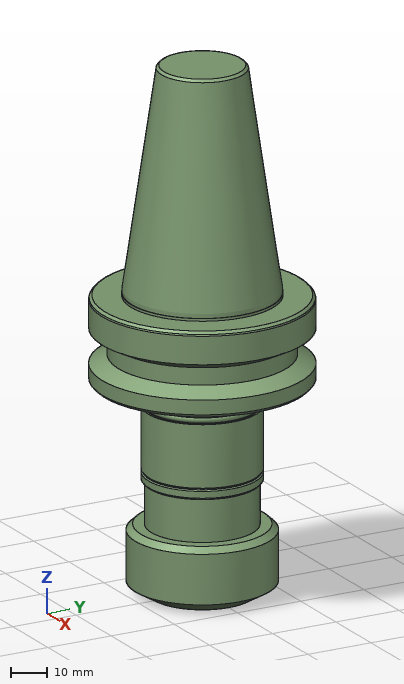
import cadquery as cq

total_height = 154.4

nut_radius = 21.2
nut_nose_radius = 15.1
nut_nose_height = 3.5
nut_top = 20.0
nut_shoulder_width = 1.9
nut_shoulder_height = 1.7

neck_radius = 16.0
collar_radius = 17.0
collar_bottom = 32.7
collar_chamfer = 0.6
collar_fillet = 1.5

narrow_groove = (35.8, 1.0, 0.3, 0.5)
wide_groove = (55.9, 2.0, 2.0, 0.6)

seal_height = 1.5
seal_bulge = 0.3

flange_radius = 31.5
flange_bottom = 61.9
flange_top = 87.1
flange_chamfer = 1.0
rim_break_width = 0.2
rim_break_height = 0.5
grip_bottom = 67.2
grip_top = 77.5
grip_root_radius = 26.4
grip_side_height = 2.6

seat_radius = 22.4
seat_height = 0.8
taper_bottom = 89.1
taper_radius = 22.2
taper_slope = 7 / 48
taper_top_chamfer = 0.8


def revolve_profile(points):
    """Solid of revolution about Z from (radius, height) points."""
    return cq.Workplane("XZ").polyline(points).close().revolve(360, (0, 0, 0), (0, 1, 0))


def ring_cutter(radius, middle, mouth_width, floor_width, depth):
    """Ring with a trapezoid section that cuts a groove into a cylinder."""
    return revolve_profile([
        (radius, middle - mouth_width / 2),
        (radius - depth, middle - floor_width / 2),
        (radius - depth, middle + floor_width / 2),
        (radius, middle + mouth_width / 2),
    ])


def make_nut():
    return revolve_profile([
        (0, 0),
        (nut_nose_radius, 0),
        (nut_radius, nut_nose_height),
        (nut_radius, nut_top - nut_shoulder_height),
        (nut_radius - nut_shoulder_width, nut_top),
        (0, nut_top),
    ])


def make_neck():
    height = collar_bottom - nut_top
    return cq.Workplane("XY").workplane(offset=nut_top).circle(neck_radius).extrude(height)


def make_collar():
    profile = (
        cq.Workplane("XZ")
        .moveTo(0, collar_bottom)
        .lineTo(collar_radius - collar_chamfer, collar_bottom)
        .lineTo(collar_radius, collar_bottom + collar_chamfer)
        .lineTo(collar_radius, flange_bottom - collar_fillet)
        .radiusArc((collar_radius + collar_fillet, flange_bottom), collar_fillet)
        .lineTo(0, flange_bottom)
        .close()
    )
    collar = profile.revolve(360, (0, 0, 0), (0, 1, 0))
    for groove in (narrow_groove, wide_groove):
        collar = collar.cut(ring_cutter(collar_radius, *groove))
    return collar


def make_seal():
    middle, _, _, depth = wide_groove
    floor_radius = collar_radius - depth
    profile = (
        cq.Workplane("XZ")
        .moveTo(0, middle - seal_height / 2)
        .lineTo(floor_radius, middle - seal_height / 2)
        .threePointArc((floor_radius + seal_bulge, middle), (floor_radius, middle + seal_height / 2))
        .lineTo(0, middle + seal_height / 2)
        .close()
    )
    return profile.revolve(360, (0, 0, 0), (0, 1, 0))


def make_flange():
    bevel_radius = flange_radius - flange_chamfer
    flange = revolve_profile([
        (0, flange_bottom),
        (bevel_radius, flange_bottom),
        (flange_radius, flange_bottom + flange_chamfer),
        (flange_radius, flange_top - rim_break_height - (flange_chamfer - rim_break_width)),
        (flange_radius - rim_break_width, flange_top - (flange_chamfer - rim_break_width)),
        (bevel_radius, flange_top),
        (0, flange_top),
    ])
    grip_width = grip_top - grip_bottom
    grip = ring_cutter(
        flange_radius,
        (grip_bottom + grip_top) / 2,
        grip_width,
        grip_width - 2 * grip_side_height,
        flange_radius - grip_root_radius,
    )
    return flange.cut(grip)


def make_taper():
    chamfer_bottom = total_height - taper_top_chamfer
    top_radius = taper_radius - taper_slope * (chamfer_bottom - taper_bottom)
    return revolve_profile([
        (0, flange_top),
        (seat_radius, flange_top),
        (seat_radius, flange_top + seat_height),
        (taper_radius, flange_top + seat_height),
        (taper_radius, taper_bottom),
        (top_radius, chamfer_bottom),
        (top_radius - taper_top_chamfer, total_height),
        (0, total_height),
    ])


result = (
    make_nut()
    .union(make_neck())
    .union(make_collar())
    .union(make_seal())
    .union(make_flange())
    .union(make_taper())
)